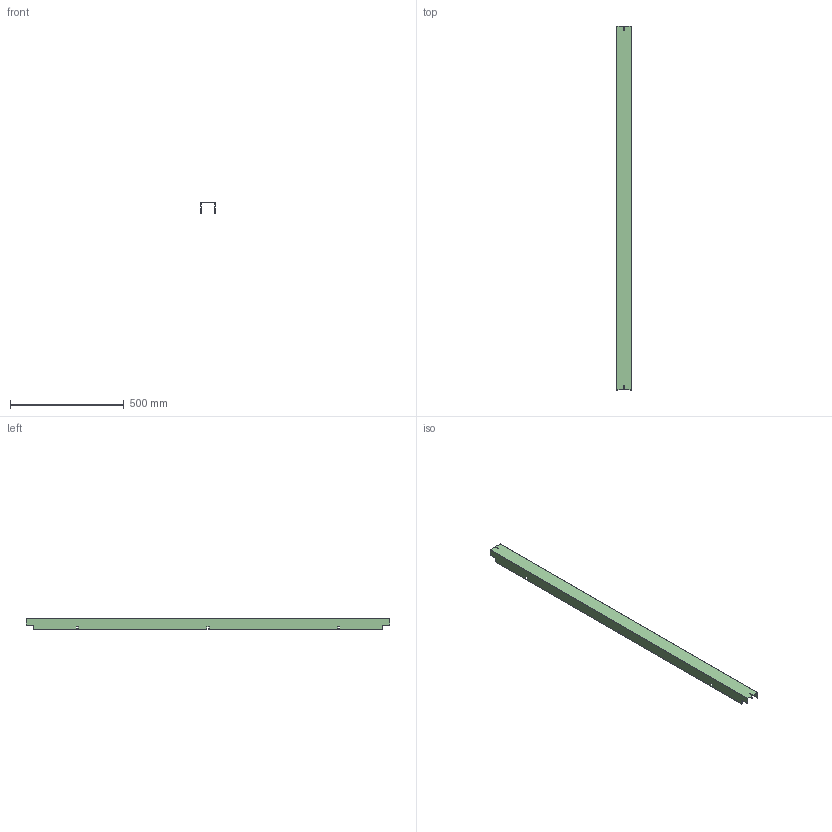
import cadquery as cq

length = 1600.0
width = 63.0
height = 48.0
sheet = 1.5

step_length = 35.0
step_height = 19.0

slot_width = 5.0
slot_length = 20.0

window_length = 9.0
window_height = 8.0
window_center_z = 8.0
window_pitch = 575.0


def channel():
    """Inverted U channel running along Y, centred on X and Y, resting on Z = 0."""
    outer = cq.Workplane("XY").box(width, length, height, centered=(True, True, False))
    inner = cq.Workplane("XY").box(
        width - 2 * sheet, length, height - sheet, centered=(True, True, False)
    )
    return outer.cut(inner)


def end_step(end):
    """Block that removes the lower wall corners at one end (end is -1 or +1)."""
    center_y = end * (length - step_length) / 2
    return (
        cq.Workplane("XY", origin=(0, center_y, 0))
        .box(width, step_length, step_height, centered=(True, True, False))
    )


def end_slot(end):
    """Block that cuts the web slot at one end (end is -1 or +1)."""
    center_y = end * (length - slot_length) / 2
    return (
        cq.Workplane("XY", origin=(0, center_y, height - sheet))
        .box(slot_width, slot_length, sheet, centered=(True, True, False))
    )


def wall_windows():
    """Bars along X that pierce both side walls at the middle and towards each end."""
    positions = [(side * window_pitch, window_center_z) for side in (-1, 0, 1)]
    return (
        cq.Workplane("YZ", origin=(-width / 2, 0, 0))
        .pushPoints(positions)
        .rect(window_length, window_height)
        .extrude(width)
    )


result = channel().cut(wall_windows())
for end in (-1, 1):
    result = result.cut(end_step(end)).cut(end_slot(end))